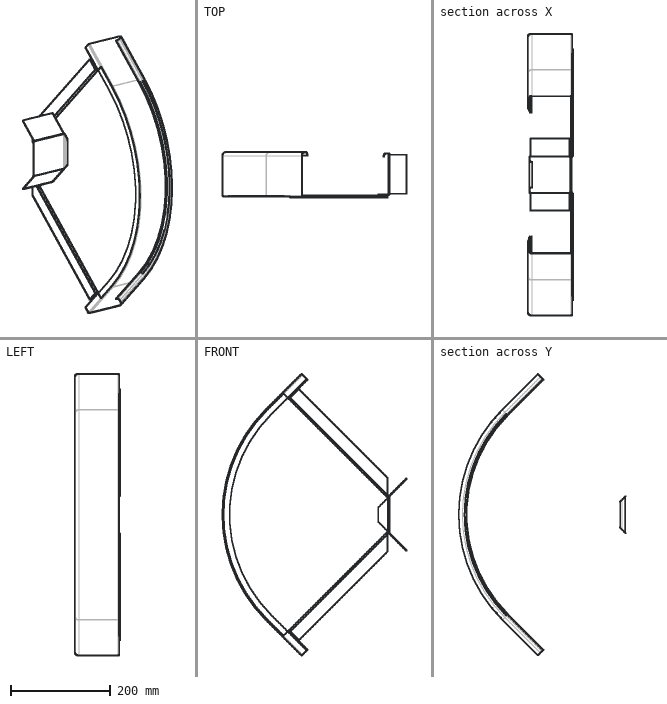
import cadquery as cq
import math


SPAN_Z = 568.0
ARM_ANGLE = 45.0
SHEET = 1.5
TOP_Y = 92.0

OUTER_RADIUS = 300.0
OUTER_BOTTOM_Y = 2.0
OUTER_FLANGE = 15.0
OUTER_LIP = 17.0
OUTER_LIP_DROP = 8.0
ROLL_RADIUS = 8.0
FOLD_RADIUS = 3.0
LIP_RADIUS = 4.5

JOINT_START = 47.5
JOINT_STEP = 3.7
JOINT_END = 76.0
JOINT_GAP = 3.5
FLOOR_RIGHT_X = 33.5

INNER_FACE_X = 37.5
INNER_TOP_Y = 89.0
INNER_FLANGE = 22.5
INNER_LIP = 12.5
INNER_LIP_DROP = 7.0
FIN_BOTTOM_Y = 7.5
FIN_TOP_Y = 86.5
FIN_CORNER = 1.0

DIAGONAL = math.sqrt(0.5)
COS_ARM = math.cos(math.radians(ARM_ANGLE))
SIN_ARM = math.sin(math.radians(ARM_ANGLE))
ARM_LENGTH = (SPAN_Z / 2 - OUTER_RADIUS * SIN_ARM) / COS_ARM
FLOOR_BOTTOM_Y = OUTER_BOTTOM_Y + SHEET
FLOOR_TOP_Y = FLOOR_BOTTOM_Y + SHEET
FLOOR_RADIUS = OUTER_RADIUS - FOLD_RADIUS


def arm_point(along, radius):
    """Point (x, z) on the upper arm: `along` from the tangent line, `radius` from the fin line."""
    return (along * COS_ARM - radius * SIN_ARM, along * SIN_ARM + radius * COS_ARM)


def mirrored(point):
    return (point[0], -point[1])


def extrude_outline(outline, bottom_y, top_y):
    """Raise an XZ outline from bottom_y to top_y (the outline's normal is -Y)."""
    return outline.extrude(bottom_y - top_y).translate((0, bottom_y, 0))


def xz_plane():
    return cq.Workplane("XZ")


def folded_section(outer_x, inward, bottom_y, top_y, flange, lip, lip_drop, roll):
    """Wall section in the XY plane: flange, wall and hooked lip, as a closed outline.

    Depths run from the outer face at outer_x; `inward` is 1 for +X and -1 for -X.
    """
    def at(depth, y):
        return (outer_x + inward * depth, y)

    def fold_middle(depth, y, radius, depth_sign, y_sign):
        return at(depth + depth_sign * radius * DIAGONAL, y + y_sign * radius * DIAGONAL)

    fold_in = FOLD_RADIUS - SHEET
    roll_in = roll - SHEET
    lip_in = LIP_RADIUS - SHEET
    low = bottom_y + FOLD_RADIUS
    high = top_y - roll
    tip = lip - LIP_RADIUS
    tip_y = top_y - LIP_RADIUS
    end_y = top_y - lip_drop
    return (
        cq.Workplane("XY")
        .moveTo(*at(flange, bottom_y))
        .lineTo(*at(FOLD_RADIUS, bottom_y))
        .threePointArc(fold_middle(FOLD_RADIUS, low, FOLD_RADIUS, -1, -1), at(0, low))
        .lineTo(*at(0, high))
        .threePointArc(fold_middle(roll, high, roll, -1, 1), at(roll, top_y))
        .lineTo(*at(tip, top_y))
        .threePointArc(fold_middle(tip, tip_y, LIP_RADIUS, 1, 1), at(lip, tip_y))
        .lineTo(*at(lip, end_y))
        .lineTo(*at(lip - SHEET, end_y))
        .lineTo(*at(lip - SHEET, tip_y))
        .threePointArc(fold_middle(tip, tip_y, lip_in, 1, 1), at(tip, top_y - SHEET))
        .lineTo(*at(roll, top_y - SHEET))
        .threePointArc(fold_middle(roll, high, roll_in, -1, 1), at(SHEET, high))
        .lineTo(*at(SHEET, low))
        .threePointArc(fold_middle(FOLD_RADIUS, low, fold_in, -1, -1), at(FOLD_RADIUS, bottom_y + SHEET))
        .lineTo(*at(flange, bottom_y + SHEET))
        .close()
    )


def make_outer_rail():
    """Hooked section turned a quarter around the bend axis, with a straight arm at each end."""
    def section():
        return folded_section(-OUTER_RADIUS, 1, OUTER_BOTTOM_Y, TOP_Y, OUTER_FLANGE, OUTER_LIP,
                              OUTER_LIP_DROP, ROLL_RADIUS)

    axis_start, axis_end = (0, 0, 0), (0, 1, 0)
    arm = section().extrude(ARM_LENGTH).rotate(axis_start, axis_end, ARM_ANGLE)
    upper_half = section().revolve(ARM_ANGLE, axis_start, axis_end).union(arm)
    return upper_half.union(upper_half.mirror("XY"))


def make_floor():
    """Flat floor resting on the outer flange, with a stepped-down joint strip on each arm."""
    edge_start = arm_point(JOINT_START, FLOOR_RADIUS)
    inner_radius = (JOINT_START * COS_ARM - FLOOR_RIGHT_X) / SIN_ARM
    edge_end = arm_point(JOINT_START, inner_radius)
    outline = (
        xz_plane()
        .moveTo(*edge_end)
        .lineTo(*edge_start)
        .lineTo(*arm_point(0, FLOOR_RADIUS))
        .threePointArc((-FLOOR_RADIUS, 0), mirrored(arm_point(0, FLOOR_RADIUS)))
        .lineTo(*mirrored(edge_start))
        .lineTo(*mirrored(edge_end))
        .close()
    )
    floor = extrude_outline(outline, FLOOR_BOTTOM_Y, FLOOR_TOP_Y)
    strip = make_joint_strip()
    return floor.union(strip).union(strip.mirror("XY"))


def make_joint_strip():
    """Sloping step and lowered strip of the upper arm, cut off in line with the floor's edge."""
    step_end = JOINT_START + JOINT_STEP
    side = OUTER_RADIUS - OUTER_FLANGE - JOINT_GAP
    strip = (
        cq.Workplane("ZY")
        .polyline([
            (JOINT_START, FLOOR_BOTTOM_Y),
            (step_end, 0),
            (JOINT_END, 0),
            (JOINT_END, SHEET),
            (step_end, SHEET),
            (JOINT_START, FLOOR_TOP_Y),
        ])
        .close()
        .extrude(side + JOINT_END)
        .translate((JOINT_END, 0, 0))
        .rotate((0, 0, 0), (0, 1, 0), ARM_ANGLE)
    )
    limit = cq.Workplane("XY").box(SPAN_Z, SPAN_Z, SPAN_Z).translate((FLOOR_RIGHT_X - SPAN_Z / 2, 0, 0))
    return strip.intersect(limit)


def make_inner_rail():
    """Short hooked wall across the inner corner, with a plain fin folded out along each arm."""
    half = INNER_FACE_X
    wall = folded_section(INNER_FACE_X, -1, FLOOR_TOP_Y, INNER_TOP_Y, INNER_FLANGE, INNER_LIP,
                          INNER_LIP_DROP, FOLD_RADIUS).extrude(half, both=True)
    mitre = xz_plane().polyline([(0, 0), (half, half), (half, -half)]).close()
    rail = wall.intersect(extrude_outline(mitre, 0, TOP_Y))
    for side in (1, -1):
        rail = rail.union(make_fin(side))
    return rail


def make_fin(side):
    """Plain fin running out along one arm."""
    start = (INNER_FACE_X - SHEET) / COS_ARM
    length = ARM_LENGTH - start
    fin = (
        cq.Workplane("XY")
        .box(SHEET, FIN_TOP_Y - FIN_BOTTOM_Y, length, centered=(False, False, False))
        .edges("|X and >Z")
        .fillet(FIN_CORNER)
        .translate((-SHEET, FIN_BOTTOM_Y, start))
        .rotate((0, 0, 0), (0, 1, 0), ARM_ANGLE)
    )
    return fin if side > 0 else fin.mirror("XY")


outer_rail = make_outer_rail()
floor = make_floor()
inner_rail = make_inner_rail()

result = cq.Compound.makeCompound([outer_rail.val(), floor.val(), inner_rail.val()])